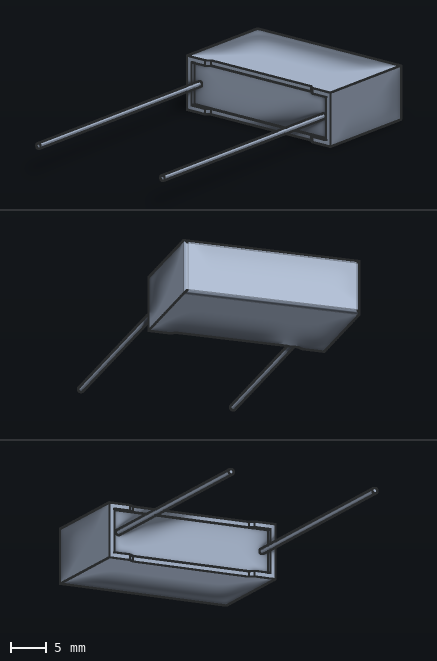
import cadquery as cq

total_length = 51.0
case_width = 26.0
case_length = 16.0
case_height = 8.0
wall = 0.8
back_fillet = 0.5

notch_depth = 0.5
notch_inset = 3.25
notch_slope_run = 0.65

filler_recess = 0.7

lead_diameter = 0.8
lead_spacing = 22.5
lead_embedment = 2.05

rim_y = 0.0
back_y = rim_y + case_length
lead_tip_y = back_y - total_length
filler_front_y = rim_y + filler_recess
filler_back_y = back_y - wall
lead_end_y = filler_front_y + lead_embedment


def make_block(width, height, front_y, end_y):
    """Box centred on X and Z that spans front_y to end_y."""
    return cq.Workplane("XY").box(width, end_y - front_y, height).translate((0, (front_y + end_y) / 2, 0))


def make_lead(x):
    """Round wire along Y, centred in Z."""
    return (
        cq.Workplane("XZ", origin=(x, lead_end_y, 0))
        .circle(lead_diameter / 2)
        .extrude(lead_end_y - lead_tip_y)
    )


def make_notch_cutter():
    """Trapezoidal prism that runs through the full case height."""
    half_mouth = case_width / 2 - notch_inset
    half_floor = half_mouth - notch_slope_run
    return (
        cq.Workplane("XY")
        .polyline([
            (-half_mouth, rim_y),
            (half_mouth, rim_y),
            (half_floor, rim_y + notch_depth),
            (-half_floor, rim_y + notch_depth),
        ])
        .close()
        .extrude(case_height / 2, both=True)
    )


def make_case():
    """Thin-walled case with a rounded back and a notched front rim."""
    cavity_width = case_width - 2 * wall
    cavity_height = case_height - 2 * wall
    shell = make_block(case_width, case_height, rim_y, back_y).faces(">Y").edges().fillet(back_fillet)
    cavity = make_block(cavity_width, cavity_height, rim_y, filler_back_y)
    return shell.cut(cavity).cut(make_notch_cutter())


def make_filler(leads):
    """Potting block with a blind hole for each lead."""
    filler = make_block(case_width - 2 * wall, case_height - 2 * wall, filler_front_y, filler_back_y)
    for lead in leads:
        filler = filler.cut(lead)
    return filler


case = make_case()
leads = [make_lead(side * lead_spacing / 2) for side in (-1, 1)]
filler = make_filler(leads)

result = cq.Compound.makeCompound([
    case.val(),
    filler.val(),
    *[lead.val() for lead in leads],
])